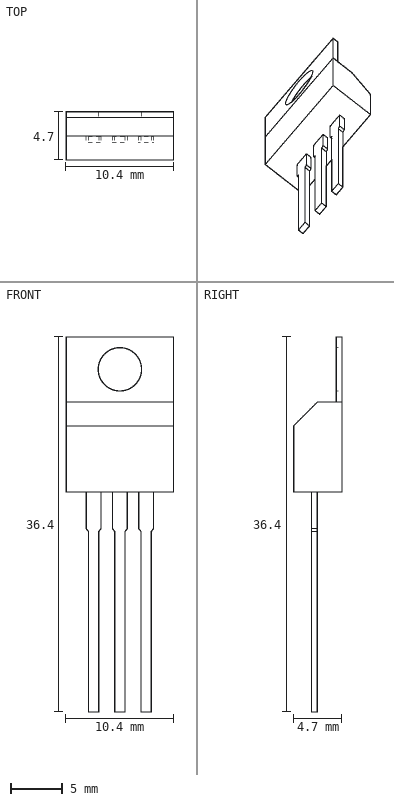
import cadquery as cq

total_height = 36.35
package_width = 10.4

tab_height = 6.3
tab_thickness = 0.58
hole_diameter = 4.18
hole_drop = tab_height / 2

housing_depth = 4.7
housing_height = 8.75
housing_chamfer = 2.33

lead_count = 3
lead_pitch = 2.55
lead_thickness = 0.58
lead_back_offset = 2.4
shoulder_width = 1.45
shoulder_length = 3.53
taper_length = 0.3
tip_width = 1.0

housing_top = total_height - tab_height
housing_bottom = housing_top - housing_height


def make_housing():
    """Block with a sloped upper front edge, extruded across its width."""
    return (
        cq.Workplane("YZ", origin=(-package_width / 2, 0, 0))
        .moveTo(0, housing_bottom)
        .lineTo(0, housing_top)
        .lineTo(-(housing_depth - housing_chamfer), housing_top)
        .lineTo(-housing_depth, housing_top - housing_chamfer)
        .lineTo(-housing_depth, housing_bottom)
        .close()
        .extrude(package_width)
    )


def make_tab():
    """Flat plate standing on the housing, flush with its back, with a mounting hole."""
    plate = cq.Workplane("XY", origin=(0, -tab_thickness / 2, housing_top)).box(
        package_width, tab_thickness, tab_height, centered=(True, True, False)
    )
    hole = (
        cq.Workplane("XZ", origin=(0, 0, total_height - hole_drop))
        .circle(hole_diameter / 2)
        .extrude(tab_thickness)
    )
    return plate.cut(hole)


def make_lead(center_x):
    """Flat lead with a wide shoulder under the housing, tapering to a narrow leg."""
    shoulder_bottom = housing_bottom - shoulder_length
    taper_bottom = shoulder_bottom - taper_length
    half_shoulder = shoulder_width / 2
    half_tip = tip_width / 2
    return (
        cq.Workplane("XZ", origin=(center_x, -lead_back_offset, 0))
        .polyline([
            (-half_shoulder, housing_bottom),
            (half_shoulder, housing_bottom),
            (half_shoulder, shoulder_bottom),
            (half_tip, taper_bottom),
            (half_tip, 0),
            (-half_tip, 0),
            (-half_tip, taper_bottom),
            (-half_shoulder, shoulder_bottom),
        ])
        .close()
        .extrude(lead_thickness)
    )


housing = make_housing()
tab = make_tab()

leads = []
for index in range(lead_count):
    lead_x = (index - (lead_count - 1) / 2) * lead_pitch
    leads.append(make_lead(lead_x).val())

result = cq.Compound.makeCompound([housing.val(), tab.val(), *leads])